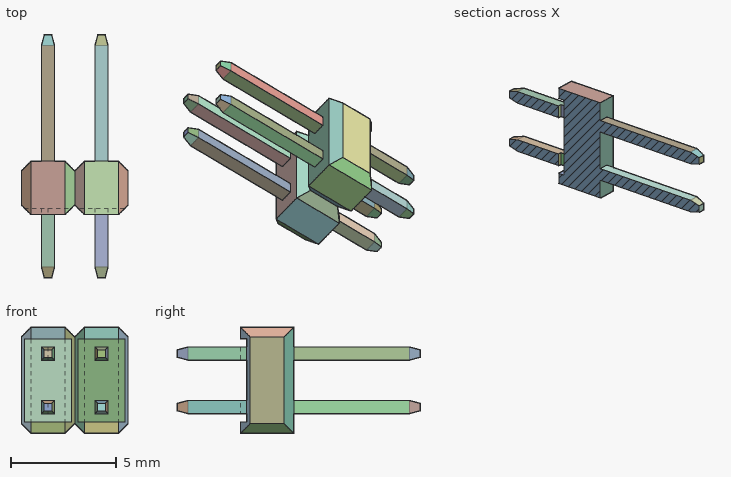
import cadquery as cq

columns = 2
rows = 2
pitch = 2.54

segment_width = pitch
housing_depth = 2.54
housing_height = 5.04
bevel = 0.46
recess_depth = 0.3
recess_height = 3.94

pin_length = 11.54
pin_thickness = 0.63
tip_thickness = 0.36
tip_length = 0.52
front_reach = 3.0

pin_front = -pin_length / 2
housing_front = pin_front + front_reach


def grid_positions(count):
    """Coordinates of evenly pitched items centred on zero."""
    return [(index - (count - 1) / 2) * pitch for index in range(count)]


def make_segment():
    """One housing segment with bevelled sides and a full-width front recess."""
    segment = (
        cq.Workplane("XY")
        .box(segment_width, housing_depth, housing_height)
        .translate((0, housing_front + housing_depth / 2, 0))
        .faces("<X or >X")
        .edges()
        .chamfer(bevel)
    )
    recess = (
        cq.Workplane("XY")
        .box(segment_width, recess_depth, recess_height)
        .translate((0, housing_front + recess_depth / 2, 0))
    )
    return segment.cut(recess)


def make_tip(base_y, direction):
    """Square tapered tip growing from base_y along Y in the given direction."""
    base_plane = cq.Plane(origin=(0, base_y, 0), xDir=(1, 0, 0), normal=(0, direction, 0))
    return (
        cq.Workplane(base_plane)
        .rect(pin_thickness, pin_thickness)
        .workplane(offset=tip_length)
        .rect(tip_thickness, tip_thickness)
        .loft(ruled=True)
    )


def make_pin():
    """Square pin with a tapered tip at each end."""
    shank_length = pin_length - 2 * tip_length
    shank = cq.Workplane("XY").box(pin_thickness, shank_length, pin_thickness)
    back_tip = make_tip(shank_length / 2, 1)
    front_tip = make_tip(-shank_length / 2, -1)
    return shank.union(back_tip).union(front_tip)


def make_pin_notch():
    """Cutter for the +X half of a pin between the recess floor and the housing front."""
    notch_width = pin_thickness / 2
    return (
        cq.Workplane("XY")
        .box(notch_width, recess_depth, pin_thickness)
        .translate((notch_width / 2, housing_front + recess_depth / 2, 0))
    )


segment = make_segment()
pin = make_pin()

notched_pin = pin.cut(make_pin_notch())

result = cq.Workplane("XY")
for column, x in enumerate(grid_positions(columns)):
    result = result.union(segment.translate((x, 0, 0)))
    column_pin = notched_pin if column == 0 else pin
    for z in grid_positions(rows):
        result = result.union(column_pin.translate((x, 0, z)))